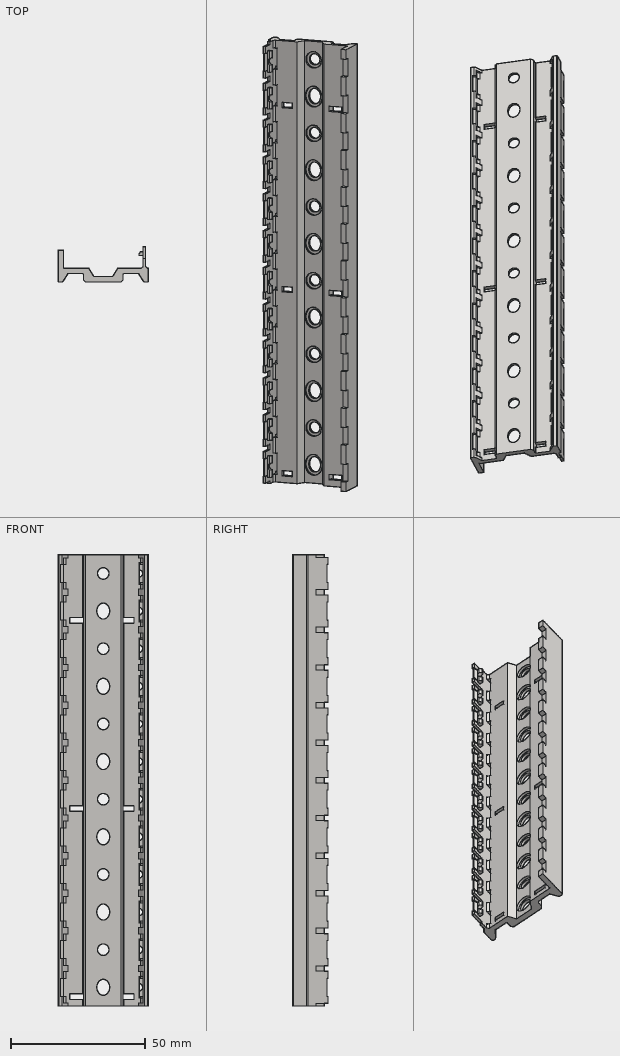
import cadquery as cq

length = 168.0
half_width = 16.8
cells = 12
pitch = length / cells

web_bottom = 3.2
web_top = 5.2
floor_top = 2.2
left_wall_top = 12.0
right_wall_top = 13.3

channel_half_width = 7.4
channel_bevel = 0.8
channel_corner = 0.3
trough_top_half_width = 5.4
trough_floor_half_width = 3.5

wall_inner = 14.8
left_wall_thickness = half_width - wall_inner
right_wall_thickness = 1.0
foot_bevel = 0.3
foot_inner_bevel = 0.5
ledge_inner = 14.0
foot_step_outer = 16.0
foot_step_depth = 1.2
bead_overhang = 0.7
bead_height = 0.7

recess_length = 6.7
ledge_level = 9.9
hook_tip = 13.3
hook_top = 11.5
hook_slope_x = 0.7
hook_slope_y = 0.8
hook_relief_radius = 1.3
barb_slope_x = 0.5
barb_top = 13.0
window_length = 8.0
window_inner = 13.5

rib_length = 2.4
rib_inner = 13.1
wall_gap = 2.0
wall_gap_bottom = 8.7

hole_diameter = 4.2
oval_width = 4.7
oval_length = 5.9
counterbore_margin = 1.0
counterbore_depth = 1.0
slot_height = 2.0
slot_first = 3.5
slot_count = 3
slot_step = 5 * pitch
left_slot_end = -12.5
right_slot_end = 11.5

cell_centers = [(i + 0.5) * pitch for i in range(cells)]
cell_borders = [i * pitch for i in range(cells + 1)]


def box(x0, x1, y0, y1, z0, z1):
    """Axis-aligned block between two values on each axis."""
    return cq.Workplane("XY").box(x1 - x0, y1 - y0, z1 - z0, centered=False).translate((x0, y0, z0))


def prism(points, z_center, height):
    """Extrude an XY outline, centred on z_center."""
    solid = cq.Workplane("XY").polyline(points).close().extrude(height)
    return solid.translate((0, 0, z_center - height / 2))


def base_section():
    """Web, channel and plain legs, without the raised walls."""
    right_half = [
        (0, 0),
        (channel_half_width - channel_bevel, 0),
        (channel_half_width, channel_bevel),
        (channel_half_width, web_bottom - channel_corner),
        (channel_half_width + channel_corner, web_bottom),
        (wall_inner, web_bottom),
        (wall_inner, foot_inner_bevel),
        (wall_inner + foot_inner_bevel, 0),
        (half_width - foot_bevel, 0),
        (half_width, foot_bevel),
        (half_width, web_top),
        (trough_top_half_width, web_top),
        (trough_floor_half_width, floor_top),
        (0, floor_top),
    ]
    solid = prism(right_half, length / 2, length)
    return solid.union(solid.mirror("YZ"))


def right_wall():
    """Thin wall standing on a bevelled bead."""
    outer = wall_inner + right_wall_thickness
    wall = box(wall_inner, outer, web_bottom, right_wall_top, 0, length)
    bead = [
        (wall_inner - bead_overhang, web_top),
        (wall_inner, web_top + bead_height),
        (outer, web_top + bead_height),
        (outer + bead_overhang, web_top),
    ]
    return wall.union(prism(bead, length / 2, length))


def leg_ledges(z):
    """Bevels joining both legs to the web around a cell border, with a central gusset rib."""
    ledge = [
        (wall_inner, web_bottom),
        (wall_inner, web_bottom - (wall_inner - ledge_inner)),
        (ledge_inner, web_bottom),
    ]
    rib = [
        (wall_inner, web_bottom),
        (wall_inner, foot_inner_bevel),
        (rib_inner, web_bottom),
    ]
    ledge_length = pitch - recess_length
    solid = prism(ledge, z, ledge_length).union(prism(rib, z, rib_length))
    return solid.union(solid.mirror("YZ"))


def hook(z):
    """Catch on the inner face of the right wall, with a round relief along Y in its tip."""
    outline = [
        (wall_inner, ledge_level),
        (hook_tip, ledge_level),
        (hook_tip, hook_top - hook_slope_y),
        (hook_tip + hook_slope_x, hook_top),
        (wall_inner, hook_top),
    ]
    relief = (
        cq.Workplane("XZ", origin=(hook_tip, right_wall_top, z))
        .circle(hook_relief_radius)
        .extrude(right_wall_top - web_top)
    )
    return prism(outline, z, window_length).cut(relief)


def cell_cuts(z):
    """Left wall notch, stepped left foot, web window and right wall barb of one cell."""
    z0 = z - recess_length / 2
    z1 = z + recess_length / 2
    notch = box(-half_width, -wall_inner, ledge_level, left_wall_top, z0, z1)
    foot_step = box(-foot_step_outer, -wall_inner, 0, foot_step_depth, z0, z1)
    window_z0 = z - window_length / 2
    window_z1 = z + window_length / 2
    window = box(window_inner, wall_inner, web_bottom, web_top + bead_height, window_z0, window_z1)
    barb = [
        (wall_inner, hook_top),
        (wall_inner + barb_slope_x, barb_top),
        (half_width, barb_top),
        (half_width, right_wall_top),
        (wall_inner, right_wall_top),
    ]
    cuts = notch.union(foot_step)
    return cuts.union(window).union(prism(barb, z, recess_length))


def floor_hole(index, z):
    """Oval and round holes alternate from an oval at the bottom, counterbored on the trough side."""
    if index % 2 == 0:
        half_x, half_z = oval_width / 2, oval_length / 2
    else:
        half_x = half_z = hole_diameter / 2
    plane = cq.Workplane("XZ", origin=(0, web_top, z))
    through = plane.ellipse(half_x, half_z).extrude(web_top)
    counterbore = plane.ellipse(half_x + counterbore_margin, half_z + counterbore_margin).extrude(
        web_top - floor_top + counterbore_depth
    )
    return through.union(counterbore)


def wall_gap_cut(z):
    """Gap that splits the right wall into teeth at a cell border."""
    return box(wall_inner, half_width, wall_gap_bottom, right_wall_top, z - wall_gap / 2, z + wall_gap / 2)


def web_slots(z):
    """Pair of slots through the web, one on each side of the channel."""
    z0 = z - slot_height / 2
    z1 = z + slot_height / 2
    left = box(left_slot_end, -channel_half_width, 0, web_top, z0, z1)
    return left.union(box(channel_half_width, right_slot_end, 0, web_top, z0, z1))


left_wall = box(-half_width, -half_width + left_wall_thickness, web_bottom, left_wall_top, 0, length)
rail = base_section().union(left_wall).union(right_wall())
for z in cell_borders:
    rail = rail.union(leg_ledges(z))
rail = rail.intersect(box(-half_width, half_width, 0, right_wall_top, 0, length))

for index, z in enumerate(cell_centers):
    rail = rail.cut(cell_cuts(z)).cut(floor_hole(index, z)).union(hook(z))
for z in cell_borders:
    rail = rail.cut(wall_gap_cut(z))
for i in range(slot_count):
    rail = rail.cut(web_slots(slot_first + i * slot_step))

result = rail